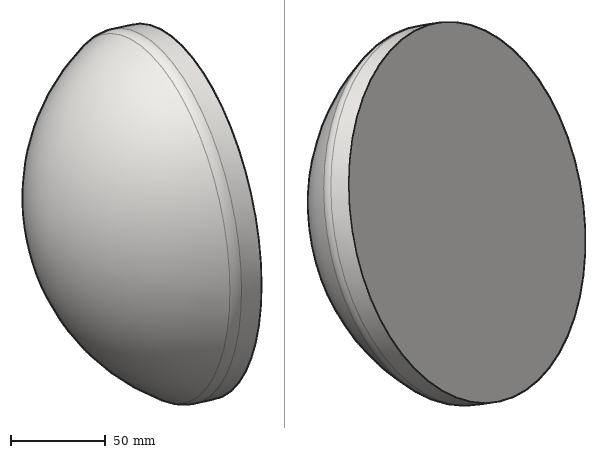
import cadquery as cq
import math

rim_radius = 101.5
total_depth = 76.2
band_depth = 12.2
edge_radius = 12.2

edge_center_radius = rim_radius - edge_radius
edge_center_depth = band_depth

crown_depth = total_depth - edge_center_depth
dome_radius = (edge_center_radius**2 + crown_depth**2 - edge_radius**2) / (2 * (crown_depth - edge_radius))
dome_center_depth = total_depth - dome_radius

blend_angle = math.atan2(edge_center_depth - dome_center_depth, edge_center_radius)


def arc_point(center_radius, center_depth, arc_radius, angle):
    """Profile point on an arc, with the dome depth running toward -Y."""
    return (
        center_radius + arc_radius * math.cos(angle),
        -(center_depth + arc_radius * math.sin(angle)),
    )


edge_middle = arc_point(edge_center_radius, edge_center_depth, edge_radius, blend_angle / 2)
edge_end = arc_point(edge_center_radius, edge_center_depth, edge_radius, blend_angle)
dome_middle = arc_point(0, dome_center_depth, dome_radius, (blend_angle + math.pi / 2) / 2)
apex = (0, -total_depth)

result = (
    cq.Workplane("XY")
    .moveTo(0, 0)
    .lineTo(rim_radius, 0)
    .lineTo(rim_radius, -band_depth)
    .threePointArc(edge_middle, edge_end)
    .threePointArc(dome_middle, apex)
    .close()
    .revolve(360, (0, 0, 0), (0, 1, 0))
)